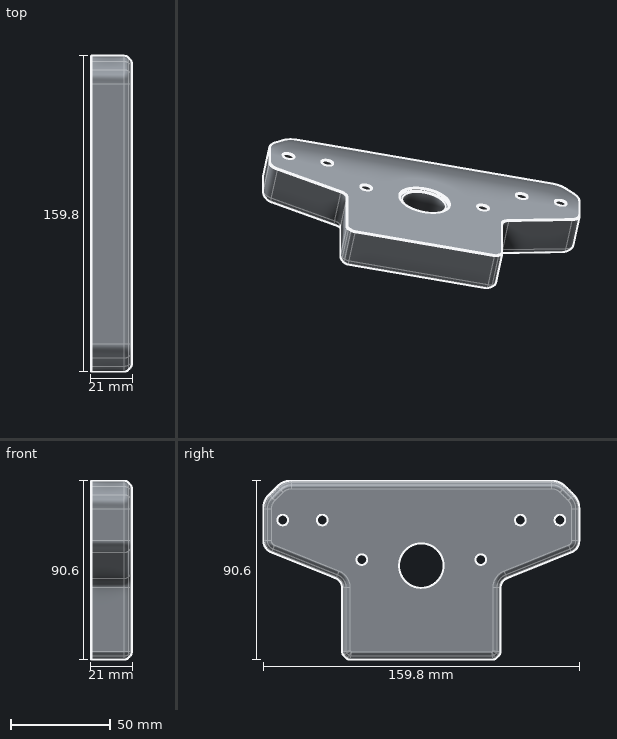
import cadquery as cq

thickness = 21.0

half_span = 79.9
half_stem = 40.1
top_z = 43.0
bottom_z = -47.6
arm_tip_z = 8.3
arm_root_z = -7.7

shoulder_cut = 10.0
shoulder_radius = 10.0
foot_cut = 3.0
foot_radius = 3.0
arm_tip_radius = 6.5
arm_root_radius = 5.0

front_chamfer = 0.5
back_chamfer = 2.9
back_blend_radius = 2.9

bore_diameter = 22.4
recess_diameter = 25.2
recess_depth = 1.6
recess_chamfer = 0.5

screw_diameter = 5.3
screw_chamfer = 0.5
screw_places = [(30.0, 3.0), (50.0, 23.0), (70.0, 23.0)]

right_corners = [
    (half_span - shoulder_cut, top_z, shoulder_radius),
    (half_span, top_z - shoulder_cut, shoulder_radius),
    (half_span, arm_tip_z, arm_tip_radius),
    (half_stem, arm_root_z, arm_root_radius),
    (half_stem, bottom_z + foot_cut, foot_radius),
    (half_stem - foot_cut, bottom_z, foot_radius),
]


def make_blank():
    """T-shaped plate with rounded corners and sharp front and back rims."""
    right_side = [(y, z) for y, z, _ in right_corners]
    left_side = [(-y, z) for y, z in reversed(right_side)]
    blank = cq.Workplane("YZ").polyline(right_side + left_side).close().extrude(thickness)
    for y, z, radius in right_corners:
        for side in (-1, 1):
            corner = cq.selectors.NearestToPointSelector((thickness / 2, side * y, z))
            blank = blank.edges("|X").edges(corner).fillet(radius)
    return blank


def break_rims(body):
    """Small front chamfer; larger back chamfer blended into the wall and the back face."""
    body = body.faces("<X").chamfer(front_chamfer)
    body = body.faces(">X").chamfer(back_chamfer)
    back_face_rim = body.faces(">X").edges()
    wall_rim = body.faces("#X").edges(">X")
    return back_face_rim.add(wall_rim).fillet(back_blend_radius)


def countersink(y, z, diameter, width):
    """Cutter for a 45 degree chamfer on a hole in the front face."""
    start = cq.Workplane("YZ").center(y, z).circle(diameter / 2 + width)
    return start.workplane(offset=width).circle(diameter / 2).loft()


def cut_bore(body):
    axis = cq.Workplane("YZ")
    body = body.cut(axis.circle(bore_diameter / 2).extrude(thickness))
    body = body.cut(axis.circle(recess_diameter / 2).extrude(recess_depth))
    return body.cut(countersink(0, 0, recess_diameter, recess_chamfer))


def cut_screw_holes(body):
    for y, z in screw_places:
        for side in (-1, 1):
            hole = cq.Workplane("YZ").center(side * y, z).circle(screw_diameter / 2).extrude(thickness)
            body = body.cut(hole)
            body = body.cut(countersink(side * y, z, screw_diameter, screw_chamfer))
    return body


result = cut_screw_holes(cut_bore(break_rims(make_blank())))